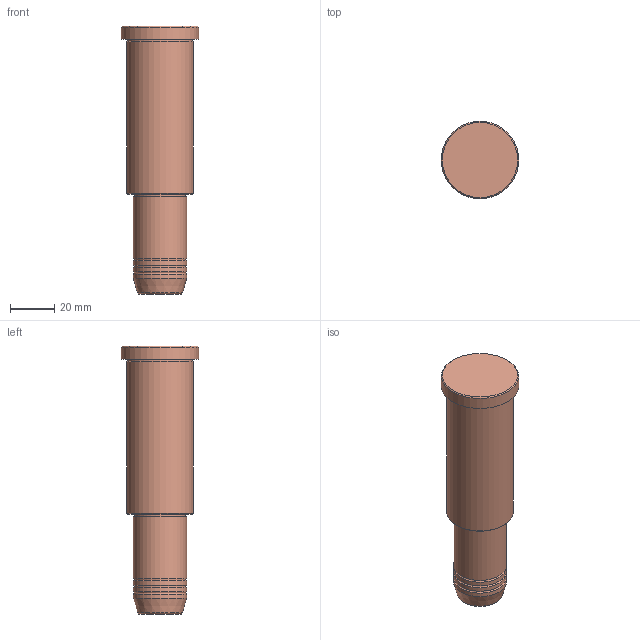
import cadquery as cq
import math

total_length = 121.0
head_radius = 35.0 / 2
body_radius = 30.0 / 2
pin_radius = 24.0 / 2
head_height = 6.0
body_length = 70.0

head_chamfer = 0.5
body_chamfer = 0.5

neck_length = 1.0
neck_depth = 0.5

nose_length = 7.0
nose_angle = 15.0
nose_chamfer = 0.5
nose_end_radius = pin_radius - (nose_length - nose_chamfer) * math.tan(math.radians(nose_angle))

groove_radius = 0.5
pin_groove_count = 3
pin_groove_pitch = 3.0
nose_to_first_groove = 2.5
first_pin_groove_level = nose_length + nose_to_first_groove

head_bottom = total_length - head_height
body_bottom = head_bottom - body_length


def revolve_about_z(outline):
    """Solid of revolution of a closed XZ outline about the Z axis."""
    return outline.revolve(360, (0, 0, 0), (0, 1, 0))


def make_stepped_pin():
    """Head, body, necked pin and tapered nose, as one revolved half profile."""
    outline = (
        cq.Workplane("XZ")
        .moveTo(0, total_length)
        .lineTo(head_radius - head_chamfer, total_length)
        .lineTo(head_radius, total_length - head_chamfer)
        .lineTo(head_radius, head_bottom)
        .lineTo(body_radius, head_bottom)
        .lineTo(body_radius, body_bottom + body_chamfer)
        .lineTo(body_radius - body_chamfer, body_bottom)
        .lineTo(pin_radius - neck_depth, body_bottom)
        .lineTo(pin_radius - neck_depth, body_bottom - neck_length)
        .lineTo(pin_radius, body_bottom - neck_length)
        .lineTo(pin_radius, nose_length)
        .lineTo(nose_end_radius, nose_chamfer)
        .lineTo(nose_end_radius - nose_chamfer, 0)
        .lineTo(0, 0)
        .close()
    )
    return revolve_about_z(outline)


def make_groove(shank_radius, level):
    """Half-round ring that cuts one groove into a shank, centred on the given level."""
    section = (
        cq.Workplane("XZ")
        .moveTo(shank_radius, level - groove_radius)
        .threePointArc((shank_radius - groove_radius, level), (shank_radius, level + groove_radius))
        .close()
    )
    return revolve_about_z(section)


result = make_stepped_pin()
result = result.cut(make_groove(body_radius, head_bottom - groove_radius))
for index in range(pin_groove_count):
    groove_level = first_pin_groove_level + index * pin_groove_pitch
    result = result.cut(make_groove(pin_radius, groove_level))